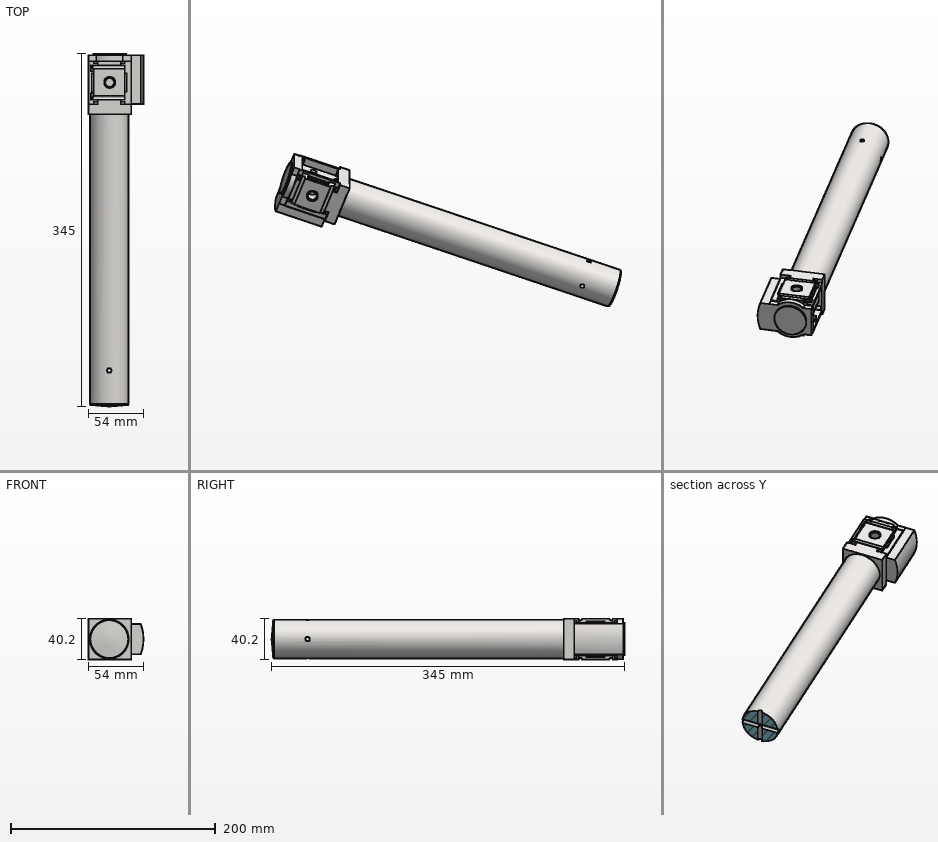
import cadquery as cq

overall_length = 345.0
overall_width = 54.0

head_left = -20.4
head_width = 42.0
head_height = 40.2
head_right = head_left + head_width
head_top = head_height / 2
head_start = 1.5
rear_height = 30.2
rear_top = rear_height / 2
slab_height = 32.2
slab_top = slab_height / 2
rear_end = 7.3
block_start = 49.3
head_end = 59.4

collar_radius = 19.9
end_disc_radius = 16.0
rear_axis_x = 0.4

tube_radius = 19.0
tube_tip_height = 1.6
tube_bevel_length = 1.2
tube_bevel_width = 0.6
cross_hole_diameter = 4.0
cross_hole_depth = 309.7

cover_height = 30.0
cover_side_end = 30.8
cover_right = head_left + overall_width

port_depth = 28.2
port_center_x = 0.4
port_diameter = 8.8
port_mouth_diameter = 11.0
port_mouth_depth = 1.2
port_length = 12.0
pad_half_width = 15.1
neck_half_width = 11.4
groove_spacing = 30.0
groove_width = 3.5
groove_drop = 1.7
pad_length = groove_spacing + groove_width
wedge_length = 6.0
wedge_reach = 3.1
groove_half_length = pad_half_width + wedge_reach
rail_length = 18.0
rail_half_width = 17.1
rail_top = 17.5
corner_block_length = 2.4
corner_block_top = 18.0

window_start = 9.9
window_end = 47.4
window_height = 28.0
bowl_radius = 17.5
pins = (
    (6.1, -20.0, 22.1, -8.6),
    (4.0, -20.0, 10.7, 10.8),
    (4.0, -20.0, 45.6, -10.8),
)


def block(x_start, x_end, depth_start, depth_end, z_start, z_end):
    """Box given by its limits along X, by depth and along Z."""
    return cq.Workplane("XY").box(
        x_end - x_start, depth_end - depth_start, z_end - z_start, centered=False
    ).translate((x_start, -depth_end, z_start))


def rod_along_y(radius, depth_start, depth_end, center_x=0.0):
    """Cylinder running towards -Y."""
    return (
        cq.Workplane("XZ", origin=(center_x, -depth_start, 0))
        .circle(radius)
        .extrude(depth_end - depth_start)
    )


def make_tube():
    """Tube with a bevelled rim, a flat cone on its end and two crossed holes."""
    cone_base = -overall_length + tube_tip_height
    tube = (
        cq.Workplane("XY")
        .moveTo(0, -head_end)
        .lineTo(tube_radius, -head_end)
        .lineTo(tube_radius, cone_base + tube_bevel_length)
        .lineTo(tube_radius - tube_bevel_width, cone_base)
        .lineTo(0, -overall_length)
        .close()
        .revolve(360, (0, 0, 0), (0, 1, 0))
    )
    hole_radius = cross_hole_diameter / 2
    for plane in ("XY", "YZ"):
        hole = (
            cq.Workplane(plane)
            .circle(hole_radius)
            .extrude(tube_radius * 2, both=True)
            .translate((0, -cross_hole_depth, 0))
        )
        tube = tube.cut(hole)
    return tube


def make_head_core():
    """Rear plate, slab, full-height front block, round collar and end disc."""
    rear = block(head_left, head_right, head_start, rear_end, -rear_top, rear_top)
    slab = block(head_left, head_right, rear_end, block_start, -slab_top, slab_top)
    front = block(head_left, head_right, block_start, head_end, -head_top, head_top)
    collar = rod_along_y(collar_radius, head_start, rear_end, rear_axis_x)
    end_disc = rod_along_y(end_disc_radius, 0, rear_end, rear_axis_x)
    return rear.union(slab).union(front).union(collar).union(end_disc)


def make_cover():
    """Cover with an arched outer face."""
    half = cover_height / 2
    return (
        cq.Workplane("XZ", origin=(0, -head_start, 0))
        .moveTo(head_right, -half)
        .lineTo(cover_side_end, -half)
        .threePointArc((cover_right, 0), (cover_side_end, half))
        .lineTo(head_right, half)
        .close()
        .extrude(block_start - head_start)
    )


def make_wedge(depth_start):
    """Sloped foot on the -X side of the pad."""
    return (
        cq.Workplane("XZ", origin=(0, -depth_start, 0))
        .moveTo(-pad_half_width, slab_top)
        .lineTo(-pad_half_width - wedge_reach, slab_top)
        .lineTo(-pad_half_width, head_top)
        .close()
        .extrude(wedge_length)
    )


def make_groove(depth):
    """Round-bottomed groove along X, centred at the given depth."""
    half = groove_width / 2
    return (
        cq.Workplane("YZ", origin=(-groove_half_length, -depth, head_top))
        .moveTo(-half, 0)
        .threePointArc((0, -groove_drop), (half, 0))
        .close()
        .extrude(2 * groove_half_length)
    )


def make_mounting_face():
    """Raised pad above the slab with its neck, rails, corner feet and cross grooves."""
    pad_start = port_depth - pad_length / 2
    pad_end = port_depth + pad_length / 2
    rail_start = port_depth - rail_length / 2
    rail_end = port_depth + rail_length / 2

    face = block(-pad_half_width, pad_half_width, pad_start, pad_end, slab_top, head_top)
    face = face.union(
        block(-neck_half_width, neck_half_width, rear_end, block_start, slab_top, head_top)
    )
    face = face.union(
        block(-rail_half_width, rail_half_width, rail_start, rail_end, slab_top, rail_top)
    )
    for depth_start in (rear_end, block_start - corner_block_length):
        depth_end = depth_start + corner_block_length
        face = face.union(
            block(-pad_half_width, pad_half_width, depth_start, depth_end, slab_top, corner_block_top)
        )
    for depth_start in (pad_start, pad_end - wedge_length):
        face = face.union(make_wedge(depth_start))
    for offset in (-groove_spacing / 2, groove_spacing / 2):
        face = face.cut(make_groove(port_depth + offset))
    return face


def make_port():
    """Blind port with a shallow counterbore, opening upwards."""
    bore_radius = port_diameter / 2
    mouth_radius = port_mouth_diameter / 2
    return (
        cq.Workplane("XZ")
        .moveTo(0, head_top - port_length)
        .lineTo(bore_radius, head_top - port_length)
        .lineTo(bore_radius, head_top - port_mouth_depth)
        .lineTo(mouth_radius, head_top - port_mouth_depth)
        .lineTo(mouth_radius, head_top)
        .lineTo(0, head_top)
        .close()
        .revolve(360, (0, 0, 0), (0, 1, 0))
        .translate((port_center_x, -port_depth, 0))
    )


def make_window():
    """Material removed from the -X side around the bowl and its pins."""
    half = window_height / 2
    window = block(head_left, 0, window_start, window_end, -half, half)
    window = window.cut(rod_along_y(bowl_radius, window_start, window_end))
    for diameter, face_x, depth, z in pins:
        pin = (
            cq.Workplane("YZ", origin=(face_x, -depth, z))
            .circle(diameter / 2)
            .extrude(-face_x)
        )
        window = window.cut(pin)
    return window


mounting_face = make_mounting_face()
port = make_port()

result = make_head_core().union(make_tube()).union(make_cover())
result = result.union(mounting_face).union(mounting_face.mirror("XY"))
result = result.cut(port).cut(port.mirror("XY"))
result = result.cut(make_window())